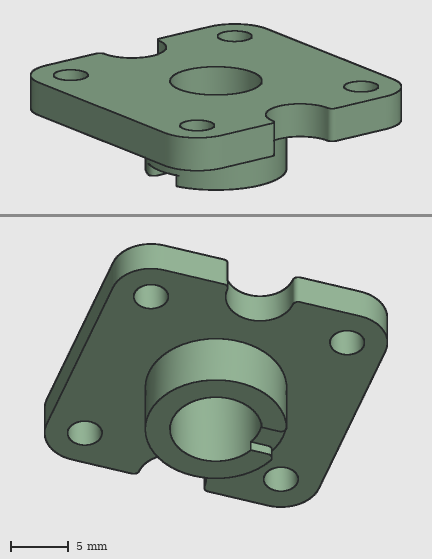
import cadquery as cq
import math

plate_side = 25.0
plate_thickness = 3.0
corner_radius = 3.5

mount_hole_diameter = 3.0
mount_hole_pitch = plate_side - 2 * corner_radius

side_notch_radius = 3.0
notch_lip_radius = 0.5
notch_center_offset = plate_side / 2 - notch_lip_radius

boss_diameter = 12.3
boss_height = 5.0
bore_diameter = 8.0

slot_width = 3.0
slot_height = 1.0
slot_lip_radius = 0.5

total_height = plate_thickness + boss_height


def make_plate():
    """Rounded square plate whose top face lies at Z = 0."""
    plate = (
        cq.Workplane("XY")
        .rect(plate_side, plate_side)
        .extrude(-plate_thickness)
        .edges("|Z")
        .fillet(corner_radius)
    )
    holes = (
        cq.Workplane("XY")
        .rect(mount_hole_pitch, mount_hole_pitch, forConstruction=True)
        .vertices()
        .circle(mount_hole_diameter / 2)
        .extrude(-plate_thickness)
    )
    return plate.cut(holes)


def make_side_notch(side):
    """Cutter for a half-round notch flaring at its mouth; side is -1 or +1 in X."""
    center_x = side * notch_center_offset
    edge_x = side * plate_side / 2
    mouth_half_width = side_notch_radius + notch_lip_radius
    lip_diagonal = notch_lip_radius * math.cos(math.pi / 4)
    lip_middle_x = center_x + side * lip_diagonal
    lip_middle_y = mouth_half_width - lip_diagonal
    return (
        cq.Workplane("XY")
        .moveTo(edge_x, mouth_half_width)
        .threePointArc((lip_middle_x, lip_middle_y), (center_x, side_notch_radius))
        .threePointArc((center_x - side * side_notch_radius, 0), (center_x, -side_notch_radius))
        .threePointArc((lip_middle_x, -lip_middle_y), (edge_x, -mouth_half_width))
        .close()
        .extrude(-plate_thickness)
    )


def make_boss():
    """Round boss below the plate, down to the bottom of the part."""
    return (
        cq.Workplane("XY")
        .workplane(offset=-plate_thickness)
        .circle(boss_diameter / 2)
        .extrude(-boss_height)
    )


def make_boss_slot():
    """Cutter from the bore out through -Y, flaring where its walls meet the boss surface."""
    boss_radius = boss_diameter / 2
    half_width = slot_width / 2
    lip_center_x = half_width + slot_lip_radius
    lip_center_distance = boss_radius - slot_lip_radius
    lip_angle = math.asin(lip_center_x / lip_center_distance)
    lip_center_y = -lip_center_distance * math.cos(lip_angle)
    mouth_x = boss_radius * math.sin(lip_angle)
    mouth_y = -boss_radius * math.cos(lip_angle)
    middle_angle = (lip_angle - math.pi / 2) / 2
    middle_x = lip_center_x + slot_lip_radius * math.sin(middle_angle)
    middle_y = lip_center_y - slot_lip_radius * math.cos(middle_angle)
    return (
        cq.Workplane("XY")
        .workplane(offset=-total_height)
        .moveTo(-half_width, 0)
        .lineTo(-half_width, lip_center_y)
        .threePointArc((-middle_x, middle_y), (-mouth_x, mouth_y))
        .threePointArc((0, -boss_radius), (mouth_x, mouth_y))
        .threePointArc((middle_x, middle_y), (half_width, lip_center_y))
        .lineTo(half_width, 0)
        .close()
        .extrude(slot_height)
    )


def make_bore():
    """Cutter for the central bore through plate and boss."""
    return cq.Workplane("XY").circle(bore_diameter / 2).extrude(-total_height)


plate = make_plate()
for side in (-1, 1):
    plate = plate.cut(make_side_notch(side))

result = plate.union(make_boss()).cut(make_bore()).cut(make_boss_slot())